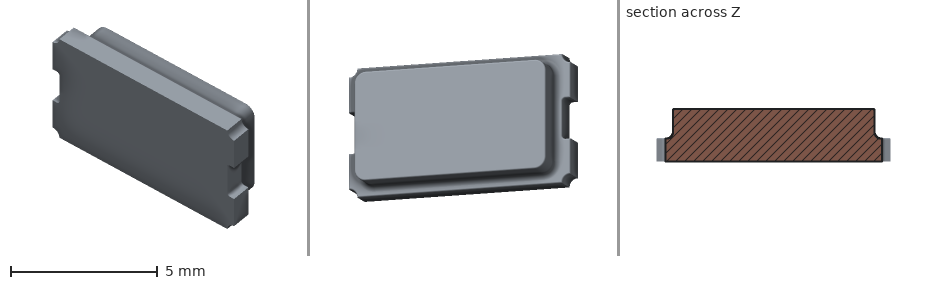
import cadquery as cq

length = 8.0
height = 4.5
base_thickness = 0.8
base_edge_radius = 0.05

corner_radius = 0.3

notch_depth = 0.3
notch_width = 1.42
notch_radius = 0.12

total_depth = 1.8
lid_inset_x = 0.55
lid_inset_z = 0.35
lid_length = length - 2 * lid_inset_x
lid_height = height - 2 * lid_inset_z
lid_corner_radius = 0.4
lid_edge_radius = 0.05
blend_radius = 0.2


def plate(size_x, size_z, start_y, end_y):
    """Rectangular block centred on the Y axis, from start_y to end_y."""
    thickness = end_y - start_y
    return cq.Workplane("XY").box(size_x, thickness, size_z).translate((0, start_y + thickness / 2, 0))


def corner_cutters():
    """Cylinders along Y, centred on the four base corners."""
    return (
        cq.Workplane("XZ")
        .rect(length, height, forConstruction=True)
        .vertices()
        .circle(corner_radius)
        .extrude(-base_thickness)
    )


def notch_cutter():
    """Round-cornered blocks straddling both short sides of the base."""
    return (
        cq.Workplane("XZ")
        .pushPoints([(-length / 2, 0), (length / 2, 0)])
        .rect(2 * notch_depth, notch_width)
        .extrude(-base_thickness)
        .edges("|Y")
        .fillet(notch_radius)
    )


def make_base():
    """Base plate with castellations and a rounded rim on its back face."""
    base = plate(length, height, 0, base_thickness)
    base = base.cut(corner_cutters()).cut(notch_cutter())
    return base.faces(">Y").edges().fillet(base_edge_radius)


def make_lid():
    """Lid with a rounded back rim and a concave blend flaring onto the base."""
    lid = plate(lid_length, lid_height, 0, total_depth)
    lid = lid.edges("|Y").fillet(lid_corner_radius)
    floor = plate(length, height, 0, base_thickness)
    body = floor.union(lid)
    joint = body.faces("+Y").faces("<Y").wires(cq.selectors.LengthNthSelector(0)).edges()
    body = joint.fillet(blend_radius)
    body = body.faces(">Y").edges().fillet(lid_edge_radius)
    return body.cut(floor)


result = make_base().union(make_lid())